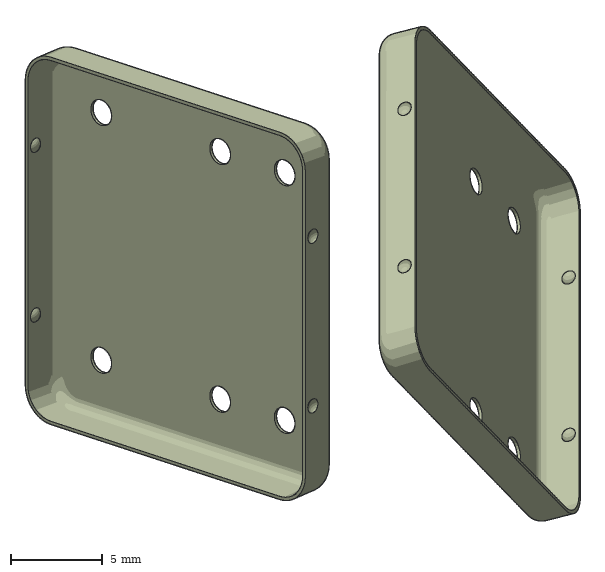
import cadquery as cq

width = 20.3
depth = 2.5
height = 21.65
wall = 0.2
corner_radius = 1.86
floor_edge_radius = 0.8

hole_diameter = 1.5
hole_columns = (-6.65, 1.97, 6.65)
hole_row_offset = 7.3

dimple_sphere_radius = 0.5
dimple_depth = 0.22
dimple_row_offset = 5.0
dimple_from_rim = 0.63

rim_y = -depth / 2
floor_y = depth / 2


def rounded_block(inset):
    """Block with rounded corners and floor edge, inset from the outer faces but flush with the rim."""
    return (
        cq.Workplane("XZ", origin=(0, rim_y, 0))
        .rect(width - 2 * inset, height - 2 * inset)
        .extrude(-(depth - inset))
        .edges("|Y")
        .fillet(corner_radius - inset)
        .faces(">Y")
        .edges()
        .fillet(floor_edge_radius - inset)
    )


def dimple_sphere(face_x, z):
    """Sphere reaching one dimple depth inward past the wall face at x = face_x."""
    center_x = face_x + dimple_sphere_radius - dimple_depth
    center = (center_x, rim_y + dimple_from_rim, z)
    return cq.Workplane("XY", origin=center).sphere(dimple_sphere_radius)


outer_block = rounded_block(0)
cavity = rounded_block(wall)
tray = outer_block.cut(cavity)

hole_centers = [(x, z) for x in hole_columns for z in (-hole_row_offset, hole_row_offset)]
floor_holes = (
    cq.Workplane("XZ", origin=(0, floor_y, 0))
    .pushPoints(hole_centers)
    .circle(hole_diameter / 2)
    .extrude(depth)
)
tray = tray.cut(floor_holes)

for z in (-dimple_row_offset, dimple_row_offset):
    bump = dimple_sphere(width / 2 - wall, z).intersect(outer_block)
    hollow = dimple_sphere(width / 2, z)
    tray = tray.union(bump).union(bump.mirror("YZ"))
    tray = tray.cut(hollow).cut(hollow.mirror("YZ"))

result = tray